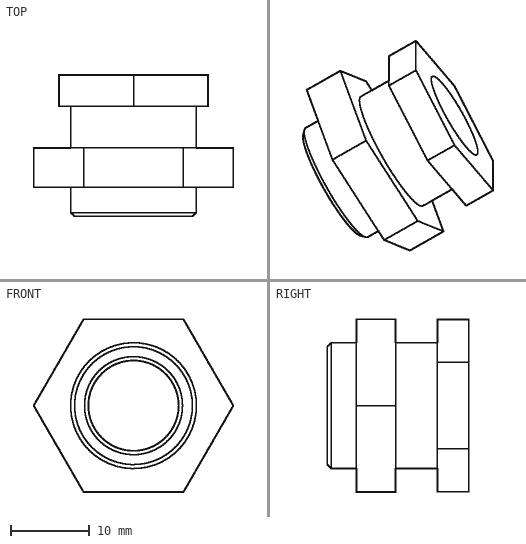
import cadquery as cq
import math

total_length = 18.0
nut_across_corners = 25.4
nut_thickness = 5.0
nut_front_offset = 3.7
head_across_flats = 19.0
head_thickness = 4.01
sleeve_diameter = 16.0
bore_diameter = 11.45
chamfer_size = 0.5


def across_corners(across_flats):
    return across_flats / math.cos(math.pi / 6)


def cylinder(diameter, length):
    """Cylinder from the front end (Y = 0) towards +Y."""
    return cq.Workplane("XZ").circle(diameter / 2).extrude(-length)


def hexagon(corner_diameter, start, thickness, turn=0):
    """Hexagonal prism with corners on X, turned about the Y axis."""
    prism = cq.Workplane("XZ", origin=(0, start, 0)).polygon(6, corner_diameter).extrude(-thickness)
    return prism.rotate((0, 0, 0), (0, 1, 0), turn)


sleeve = cylinder(sleeve_diameter, total_length)

nut = hexagon(nut_across_corners, nut_front_offset, nut_thickness)
head = hexagon(
    across_corners(head_across_flats),
    total_length - head_thickness,
    head_thickness,
    turn=30,
)

bore = cylinder(bore_diameter, total_length)
result = sleeve.union(nut).union(head).cut(bore)
result = result.faces("<Y").edges().chamfer(chamfer_size)